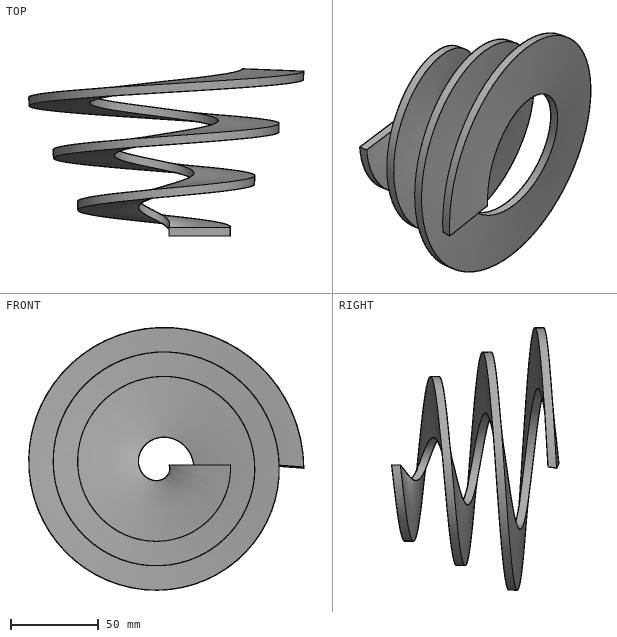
import cadquery as cq
import math

inner_radius = 5.0
band_width = 35.0
band_thickness = 5.0
axial_pitch = 30.0
turns = 3
cone_half_angle = 25
guide_radius = 20.0

slope_pitch = axial_pitch / math.cos(math.radians(cone_half_angle))
slope_length = turns * slope_pitch
guide = cq.Wire.makeHelix(slope_pitch, slope_length, guide_radius, angle=cone_half_angle)

section_center_x = inner_radius + band_width / 2
section = (
    cq.Workplane("XZ")
    .center(section_center_x, 0)
    .rect(band_width, band_thickness)
)
band = section.sweep(cq.Workplane(guide), isFrenet=True)

result = band.rotate((0, 0, 0), (1, 0, 0), -90)